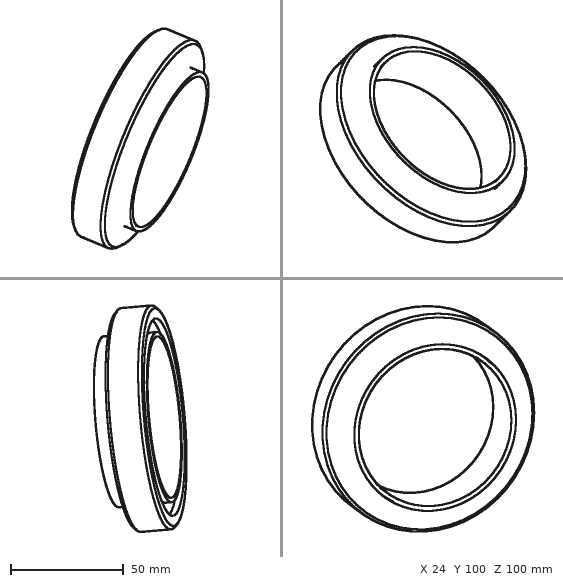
import cadquery as cq

total_length = 24.0
flange_length = 16.5
groove_depth = 3.0

flange_diameter = 100.0
neck_diameter = 76.4
bore_diameter = 72.0
groove_outer_diameter = 88.0
groove_inner_diameter = 76.0

flange_chamfer = 1.4
neck_fillet = 2.0


def cylinder(diameter, length):
    """Solid cylinder along +X, starting at the flange face X = 0."""
    return cq.Workplane("YZ").circle(diameter / 2).extrude(length)


flange = cylinder(flange_diameter, flange_length).edges().chamfer(flange_chamfer)

body = flange.union(cylinder(neck_diameter, total_length))
flange_back_point = (flange_length, (neck_diameter + flange_diameter) / 4, 0)
flange_back = body.faces(cq.selectors.NearestToPointSelector(flange_back_point))
neck_root = flange_back.edges(cq.selectors.RadiusNthSelector(0))
body = neck_root.fillet(neck_fillet)

bore = cylinder(bore_diameter, total_length)
groove = cylinder(groove_outer_diameter, groove_depth).cut(
    cylinder(groove_inner_diameter, groove_depth)
)

result = body.cut(bore).cut(groove)